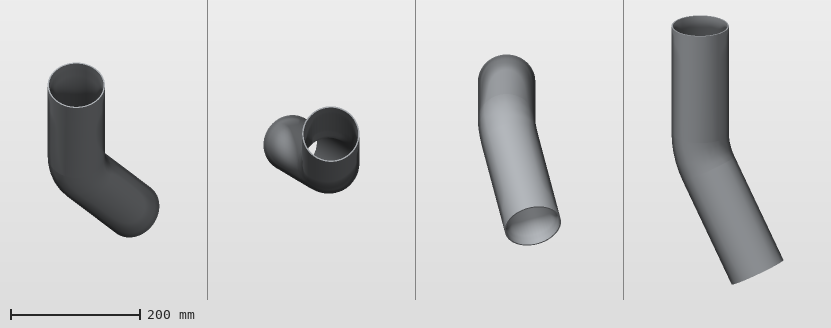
import cadquery as cq
import math

outer_diameter = 88.9
inner_diameter = 84.68
leg_length = 177.8
bend_radius = 114.3
bend_angle = 30.0


def point_on_bend(angle):
    """Return the (Y, Z) point of the tube axis after turning by angle degrees."""
    turn = math.radians(angle)
    y = bend_radius * (1 - math.cos(turn))
    z = -bend_radius * math.sin(turn)
    return y, z


def tube_axis():
    """Build the axis in the YZ plane, with the bend starting at the origin."""
    bend_start = point_on_bend(0)
    bend_middle = point_on_bend(bend_angle / 2)
    bend_end = point_on_bend(bend_angle)
    slant = math.radians(bend_angle)
    lower_end = (
        bend_end[0] + leg_length * math.sin(slant),
        bend_end[1] - leg_length * math.cos(slant),
    )
    return (
        cq.Workplane("YZ")
        .moveTo(0, leg_length)
        .lineTo(*bend_start)
        .threePointArc(bend_middle, bend_end)
        .lineTo(*lower_end)
    )


def bent_tube():
    """Sweep the ring section from the open top end along the axis."""
    section = (
        cq.Workplane("XY", origin=(0, 0, leg_length))
        .circle(outer_diameter / 2)
        .circle(inner_diameter / 2)
    )
    return section.sweep(tube_axis())


result = bent_tube()